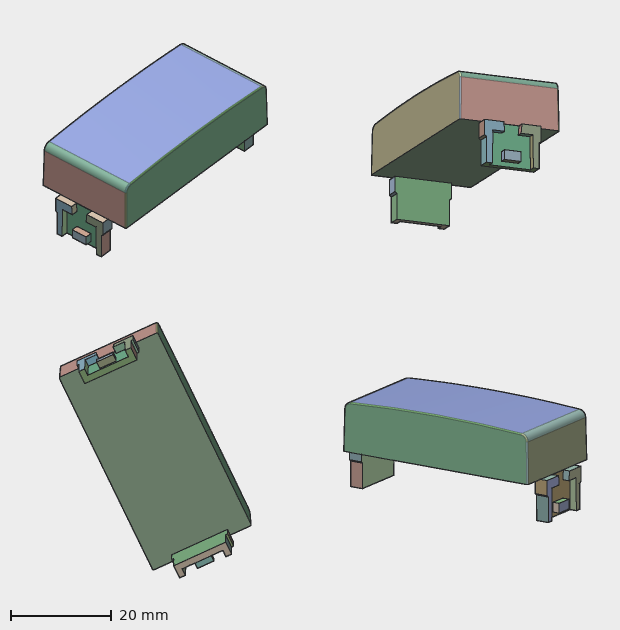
import cadquery as cq

cap_width = 21.7
cap_length = 43.9
cap_height = 10.95
side_draft = 0.2
end_draft = 0.2
crown_rise = 0.75
end_radius = 1.55
side_radius = 0.3

overall_length = 47.0
leg_depth = 8.85
leg_thickness = 2.85
leg_foot_thickness = 2.75
shoulder_half_width = 6.15
shank_half_width = 5.75
shoulder_bottom = -3.15
shank_top = -3.52

recess_depth = 1.45
neck_mouth_half_width = 1.97
neck_half_width = 1.8
neck_depth = 1.97
pocket_top_half_width = 4.32
pocket_foot_half_width = 4.45
catch_width = 3.6
catch_top = -5.8
catch_height = 2.0


def mirrored_outline(right_side):
    """Close an outline from its right side and the mirror image of that side."""
    left_side = [(-x, z) for x, z in reversed(right_side)]
    return cq.Workplane("XZ").polyline(right_side + left_side).close()


def make_cap():
    half_length = cap_length / 2
    half_width = cap_width / 2
    corner_y = half_length - end_draft
    corner_z = cap_height - crown_rise
    crowned = (
        cq.Workplane("YZ")
        .moveTo(-half_length, 0)
        .lineTo(half_length, 0)
        .lineTo(corner_y, corner_z)
        .threePointArc((0, cap_height), (-corner_y, corner_z))
        .close()
        .extrude(half_width, both=True)
    )
    corner_edges = cq.selectors.BoxSelector(
        (-half_width, -half_length, corner_z - end_radius),
        (half_width, half_length, corner_z + side_radius),
    )
    crowned = crowned.edges("|X").edges(corner_edges).fillet(end_radius)
    drafted_sides = mirrored_outline(
        [(half_width, 0), (half_width - side_draft, cap_height)]
    ).extrude(half_length, both=True)
    cap = crowned.intersect(drafted_sides)
    side_edges = cap.faces("<X or >X").edges("not(<Z)")
    return cap.newObject(side_edges.vals()).fillet(side_radius)


def make_front_leg():
    outer_y = -overall_length / 2
    silhouette = mirrored_outline([
        (shoulder_half_width, 0),
        (shoulder_half_width, shoulder_bottom),
        (shank_half_width, shank_top),
        (shank_half_width, -leg_depth),
    ]).extrude(overall_length / 2)
    side_profile = (
        cq.Workplane("YZ")
        .polyline([
            (outer_y, 0),
            (outer_y + leg_thickness, 0),
            (outer_y + leg_foot_thickness, -leg_depth),
            (outer_y, -leg_depth),
        ])
        .close()
        .extrude(shoulder_half_width, both=True)
    )
    recess = mirrored_outline([
        (neck_mouth_half_width, 0),
        (neck_half_width, -neck_depth),
        (pocket_top_half_width, -neck_depth),
        (pocket_foot_half_width, -leg_depth),
    ]).extrude(recess_depth).translate((0, outer_y + recess_depth, 0))
    catch = cq.Workplane("XY").box(
        catch_width, recess_depth, catch_height, centered=(True, False, False)
    ).translate((0, outer_y, catch_top - catch_height))
    return silhouette.intersect(side_profile).cut(recess).union(catch)


front_leg = make_front_leg()
rear_leg = front_leg.mirror("XZ")
result = make_cap().union(front_leg).union(rear_leg)